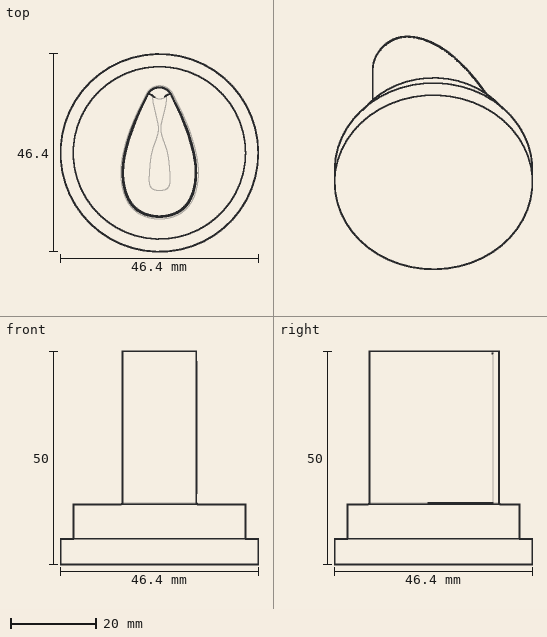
import cadquery as cq

total_height = 50.0
flange_diameter = 46.4
flange_height = 6.0
disc_diameter = 40.4
disc_top = 14.1
foot_fillet = 0.4

dish_depth = 1.6
rim_inset = 0.04
wall_inset = 0.4
wall_drop = 0.7

grip_outline = [
    (0, 15.4), (2.65, 13.9), (4.85, 9.5), (6.55, 5.5), (7.8, 1.5), (8.7, -4.7), (5.6, -13.15), (0, -15.05),
]
floor_outline = [
    (0, 12.7), (1.65, 13.5), (0.9, 9), (0.3, 5.25), (1.45, 1.5), (2.4, -4.5), (1.65, -8.4), (0, -8.75),
]


def blend(share):
    """Half outline lying between the grip outline and the dish floor."""
    return [
        (gx + share * (fx - gx), gy + share * (fy - gy))
        for (gx, gy), (fx, fy) in zip(grip_outline, floor_outline)
    ]


def teardrop(half_outline, height):
    """Closed wire: a nose arc and one smooth curve around the flanks and rear."""
    tip, corner, *side, rear = half_outline
    mirrored_side = [(-x, y) for x, y in reversed(side)]
    left_corner = (-corner[0], corner[1])
    return (
        cq.Workplane("XY", origin=(0, 0, height))
        .moveTo(*left_corner)
        .threePointArc(tip, corner)
        .spline([*side, rear, *mirrored_side, left_corner], includeCurrent=True)
        .wire()
    )


def make_base():
    flange = cq.Workplane("XY").circle(flange_diameter / 2).extrude(flange_height)
    disc = cq.Workplane("XY").circle(disc_diameter / 2).extrude(disc_top)
    return flange.union(disc)


def make_grip():
    return teardrop(grip_outline, disc_top).extrude(total_height - disc_top)


def make_dish():
    """Concave hollow lofted from the narrow flat floor up to the rim."""
    sections = [
        (1.0, dish_depth),
        (wall_inset, wall_drop * dish_depth),
        (rim_inset, 0.0),
    ]
    wires = [teardrop(blend(share), total_height - depth).val() for share, depth in sections]
    return cq.Workplane("XY").newObject([cq.Solid.makeLoft(wires)])


def add_foot_fillet(body):
    """Round the corner where the grip meets the disc."""
    reach = (disc_diameter - foot_fillet) / 2
    corner_zone = cq.selectors.BoxSelector(
        (-reach, -reach, disc_top - foot_fillet),
        (reach, reach, disc_top + foot_fillet),
        boundingbox=True,
    )
    return body.edges(corner_zone).fillet(foot_fillet)


body = add_foot_fillet(make_base().union(make_grip()))
result = body.cut(make_dish())